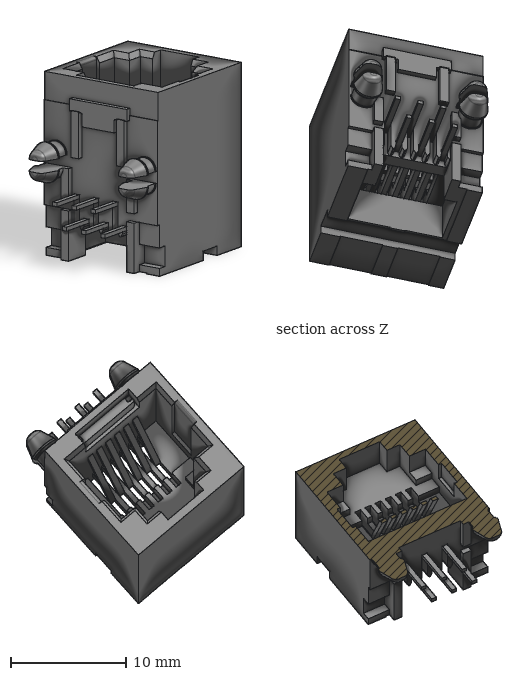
import cadquery as cq
import math


width = 12.1
depth = 12.45
height = 16.55
half_width = width / 2
collar_setback = 0.07
collar_bottom = 14.02
base_z = 0.08
feet = [(-half_width, -4.27), (-0.48, 0.9), (4.68, half_width)]

cavity_front = 2.05
wide_half, wide_back = 4.96, 8.92
step_half, step_back = 3.35, 10.53
latch_half, latch_back = 2.04, 11.73
rim = 0.31
rim_angle = 30
rim_height = rim / math.tan(math.radians(rim_angle))
groove_y = (4.17, 6.72)
groove_radius = 0.31
groove_bottom = 6.62

floor_z = 4.96
shelf_z = 5.63
corner_block_z = 6.29
shelf_front, shelf_back = 6.6, 7.81
hollow_half = 4.25
hollow_ceiling = 3.97
channel_half = 3.1
channel_top = 2.96

contact_count = 6
pitch = 1.03
slot_width = 0.56
contact_low_y = 5.13
contact_angle = 66
contact_thickness = 0.36
pin_width = 0.46
pin_thickness = 0.36
pin_tip = -3.26
pin_root = 1.49
pin_tops = (6.07, 4.04)
pin_slot_depth = 1.0
slot_flare, flare_height = 0.2, 0.3

carrier_y = 0.65
carrier_half = 3.06
carrier_z = 14.66
carrier_ledge = 0.33
carrier_ramp_y = 1.75
carrier_pocket = (0.48, 0.4)
carrier_lip = 0.1

rib_proud = 0.5
rib_width = 0.81
plate_proud = 0.41
plate_bar_z = (13.57, 14.66)
plate_stem_half, plate_stem_bottom = 1.72, 12.35
plate_fillet = 0.13
upper_rib_x, upper_rib_z = 2.0, (9.45, 13.65)
lower_rib_x, lower_rib_z = channel_half, (5.45, 8.39)
leg_top = 4.6
leg_outer = channel_half + rib_width
leg_step = 0.28
leg_pocket_y, leg_pocket_z = 1.08, (0.71, 2.55)
side_notch_y, side_notch_top = (6.79, 8.84), 0.85

peg_x = 4.75
peg_gap_z = (8.39, 9.45)
peg_collar_radius, peg_collar_length = 1.16, 0.12
peg_shaft_radius, peg_shaft_end = 1.1, 1.16
peg_head_radius = 1.29
peg_head_start, peg_head_end = 1.35, 1.54
peg_cone_radius, peg_cone_end = 0.86, 2.76
peg_nose_radius, peg_length = 0.23, 3.21
peg_nose_bulge = (0.68, 3.06)


def box(x0, x1, y0, y1, z0, z1):
    """Axis-aligned block between opposite corners."""
    return cq.Workplane("XY").box(x1 - x0, y1 - y0, z1 - z0, centered=False).translate((x0, y0, z0))


def both_sides(shape):
    """The shape together with its mirror image across the X = 0 plane."""
    return shape.union(shape.mirror("YZ"))


def side_profile(points, half):
    """Closed (Y, Z) outline extruded symmetrically in X."""
    return cq.Workplane("YZ").polyline(points).close().extrude(half, both=True)


def housing():
    body = box(-half_width, half_width, 0, depth, base_z, height)
    for x0, x1 in feet:
        body = body.union(box(x0, x1, 0, depth, 0, base_z))
    body = body.cut(box(-half_width, half_width, 0, collar_setback, collar_bottom, height))
    return body.cut(box(-half_width, half_width, *side_notch_y, 0, side_notch_top))


def flared_opening(half, back):
    """Rectangular opening down to the floor with a flared rim at the top."""
    length = back - cavity_front
    flare = (
        cq.Workplane("XY", origin=(0, cavity_front + length / 2, height))
        .rect(2 * (half + rim), length + 2 * rim)
        .extrude(-rim_height, taper=rim_angle)
    )
    return flare.union(box(-half, half, cavity_front, back, floor_z, height))


def side_groove():
    """Groove in the +X side wall, rounded over where it meets the top face."""
    wall = wide_half + rim
    groove = box(0, wall, *groove_y, groove_bottom, height)
    flare = box(wall, wall + groove_radius, *groove_y, height - groove_radius, height)
    round_over = (
        cq.Workplane("XZ", origin=(wall + groove_radius, groove_y[0], height - groove_radius))
        .circle(groove_radius)
        .extrude(-(groove_y[1] - groove_y[0]))
    )
    return groove.union(flare.cut(round_over))


def plug_cavity():
    cavity = flared_opening(wide_half, wide_back)
    cavity = cavity.union(flared_opening(step_half, step_back))
    cavity = cavity.union(box(-latch_half, latch_half, cavity_front, latch_back, floor_z, height))
    cavity = cavity.union(both_sides(side_groove()))
    shelf = box(-wide_half - rim, wide_half + rim, shelf_front, latch_back, floor_z, shelf_z)
    corner_block = box(step_half, wide_half, shelf_back, wide_back, floor_z, corner_block_z)
    return cavity.cut(shelf).cut(both_sides(corner_block))


def carrier_recess():
    """Recess in the front wall; its floor is the carrier top with a ramp towards the cavity."""
    low_z = carrier_z - carrier_ledge
    recess = box(-carrier_half, carrier_half, carrier_y, cavity_front + rim, low_z, height)
    ramp_end = carrier_ramp_y - carrier_ledge
    top = side_profile(
        [(carrier_y, low_z), (carrier_ramp_y, low_z), (ramp_end, carrier_z), (carrier_y, carrier_z)],
        carrier_half,
    )
    corner_cut = (
        cq.Workplane("XY", origin=(0, 0, low_z))
        .polyline([
            (carrier_half, ramp_end),
            (carrier_half, carrier_ramp_y),
            (carrier_half - carrier_ledge, carrier_ramp_y),
        ])
        .close()
        .extrude(carrier_ledge)
    )
    pocket_x, pocket_y = carrier_pocket
    pocket_start = carrier_y + carrier_lip
    pocket_end = pocket_start + pocket_y
    pocket = (
        cq.Workplane("YZ", origin=(carrier_half - pocket_x, 0, 0))
        .polyline([(pocket_start, carrier_z), (pocket_end, carrier_z), (pocket_end, low_z)])
        .close()
        .extrude(pocket_x)
    )
    return recess.cut(top.cut(both_sides(corner_cut.union(pocket))))


def underside_hollow():
    hollow = box(-hollow_half, hollow_half, cavity_front, shelf_front, 0, hollow_ceiling)
    return hollow.union(box(-channel_half, channel_half, 0, cavity_front, 0, channel_top))


def leg_clearance():
    """Housing corner cut back outside the +X leg, with a deeper pocket inside it."""
    step = box(leg_outer, half_width, 0, leg_step, 0, leg_top)
    return step.union(box(leg_outer, half_width, 0, leg_pocket_y, *leg_pocket_z))


def board_face_ribs():
    """Standoff ribs and the leg on the +X half of the board face."""
    ribs = box(upper_rib_x, upper_rib_x + rib_width, -rib_proud, 0, *upper_rib_z)
    ribs = ribs.union(box(lower_rib_x, leg_outer, -rib_proud, 0, *lower_rib_z))
    return ribs.union(box(channel_half, leg_outer, -rib_proud, leg_step, base_z, leg_top))


def tee_plate():
    bar_bottom, bar_top = plate_bar_z
    bar = box(-carrier_half, carrier_half, -plate_proud, collar_setback, bar_bottom, bar_top)
    stem = box(-plate_stem_half, plate_stem_half, -plate_proud, 0, plate_stem_bottom, bar_bottom)
    near = 0.17
    inner_corners = cq.selectors.BoxSelector(
        (-plate_stem_half - near, -plate_proud - near, bar_bottom - near),
        (plate_stem_half + near, collar_setback + near, bar_bottom + near),
    )
    return bar.union(stem).edges("|Y").edges(inner_corners).fillet(plate_fillet)


def peg_half(gap_z, direction):
    """Half of a snap peg, on the side of the gap given by direction (+1 up, -1 down)."""
    bulge_radius, bulge_distance = peg_nose_bulge
    full_peg = (
        cq.Workplane("XY")
        .lineTo(peg_collar_radius, 0)
        .lineTo(peg_collar_radius, -peg_collar_length)
        .lineTo(peg_shaft_radius, -peg_collar_length)
        .lineTo(peg_shaft_radius, -peg_shaft_end)
        .lineTo(peg_collar_radius, -peg_shaft_end)
        .lineTo(peg_head_radius, -peg_head_start)
        .lineTo(peg_head_radius, -peg_head_end)
        .lineTo(peg_cone_radius, -peg_cone_end)
        .threePointArc((bulge_radius, -bulge_distance), (peg_nose_radius, -peg_length))
        .lineTo(0, -peg_length)
        .close()
        .revolve(360, (0, 0, 0), (0, 1, 0))
    )
    kept_bottom, kept_top = sorted((0, direction * peg_head_radius))
    kept = box(-peg_head_radius, peg_head_radius, -peg_length, 0, kept_bottom, kept_top)
    return full_peg.intersect(kept).translate((peg_x, 0, gap_z))


def peg():
    return peg_half(peg_gap_z[0], -1).union(peg_half(peg_gap_z[1], 1))


def pin_slot(top_z):
    """Vertical slot in the board face with a flared lower end."""
    half = slot_width / 2
    return (
        cq.Workplane("XZ")
        .polyline([
            (-half - slot_flare, channel_top),
            (half + slot_flare, channel_top),
            (half, channel_top + flare_height),
            (half, top_z),
            (-half, top_z),
            (-half, channel_top + flare_height),
        ])
        .close()
        .extrude(-pin_slot_depth)
    )


def pin(top_z):
    return box(-pin_width / 2, pin_width / 2, pin_tip, pin_root, top_z - pin_thickness, top_z)


def contact_spring():
    """Inclined spring rising from the floor slot into the front wall."""
    slope = math.tan(math.radians(contact_angle))
    rise = slope * (contact_low_y - cavity_front)
    drop = contact_thickness / math.cos(math.radians(contact_angle))
    return side_profile(
        [
            (contact_low_y, floor_z),
            (cavity_front, floor_z + rise),
            (cavity_front, floor_z + rise - drop),
            (contact_low_y - drop / slope, floor_z),
        ],
        slot_width / 2,
    )


def floor_slot():
    return box(-slot_width / 2, slot_width / 2, cavity_front, shelf_back, hollow_ceiling, shelf_z)


def build():
    body = housing()
    for cavity in (plug_cavity(), carrier_recess(), underside_hollow(), both_sides(leg_clearance())):
        body = body.cut(cavity)
    for part in (both_sides(board_face_ribs()), tee_plate(), both_sides(peg())):
        body = body.union(part)
    for i in range(contact_count):
        x = (i - (contact_count - 1) / 2) * pitch
        top_z = pin_tops[i % len(pin_tops)]
        body = body.cut(pin_slot(top_z).union(floor_slot()).translate((x, 0, 0)))
        body = body.union(pin(top_z).translate((x, 0, 0)))
        body = body.union(contact_spring().translate((x, 0, 0)))
    return body


result = build()